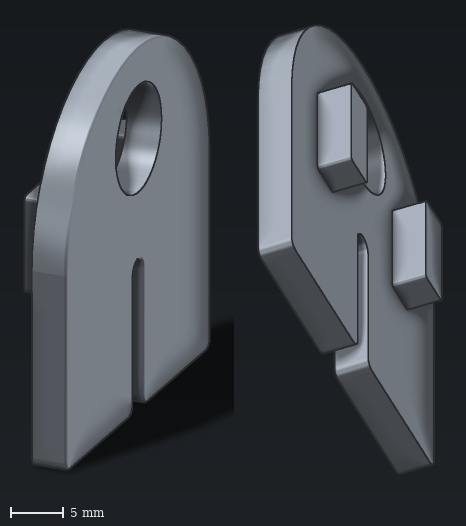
import cadquery as cq

height = 37.5
width = 34.5
plate_thickness = 3.6
corner_radius = 1.0
edge_radius = 0.3

slot_width = 2.5
slot_height = 15.5

hole_diameter = 11.0
hole_top_margin = 4.0

peg_length = 3.5
peg_width = 3.98
peg_height = 9.98
peg_spacing = 18.08
peg_center_height = 20.02
peg_corner_radius = 0.5

half_width = width / 2
half_slot = slot_width / 2
arch_center_height = height - half_width
slot_arc_start = slot_height - half_slot
hole_center_height = height - hole_top_margin - hole_diameter / 2


def make_plate():
    """Arched plate with the slot and rounded lower corners, X from 0 to its thickness."""
    outline = (
        cq.Workplane("YZ")
        .moveTo(half_slot, 0)
        .lineTo(half_width, 0)
        .lineTo(half_width, arch_center_height)
        .threePointArc((0, height), (-half_width, arch_center_height))
        .lineTo(-half_width, 0)
        .lineTo(-half_slot, 0)
        .lineTo(-half_slot, slot_arc_start)
        .threePointArc((0, slot_height), (half_slot, slot_arc_start))
        .close()
    )
    plate = outline.extrude(plate_thickness)
    lower_corners = plate.faces("<Z").edges("|X")
    plate = lower_corners.fillet(corner_radius)
    return plate.faces(">X").edges().fillet(edge_radius)


def make_hole():
    """Cutter for the round hole through the plate."""
    return (
        cq.Workplane("YZ")
        .center(0, hole_center_height)
        .circle(hole_diameter / 2)
        .extrude(plate_thickness)
    )


def make_pegs():
    """Two upright rectangular pegs with rounded corners, pointing toward -X."""
    return (
        cq.Workplane("YZ")
        .pushPoints([(side * peg_spacing / 2, peg_center_height) for side in (-1, 1)])
        .rect(peg_width, peg_height)
        .extrude(-peg_length)
        .edges("|X")
        .fillet(peg_corner_radius)
    )


result = make_plate().cut(make_hole()).union(make_pegs())